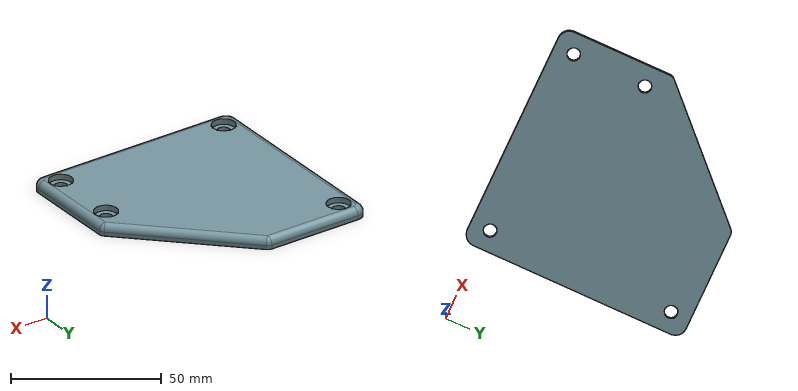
import cadquery as cq

side = 80.0
thickness = 4.0
corner_cut = 40.0
square_corner_radius = 4.0
cut_corner_radius = 2.6
top_edge_radius = 2.5

hole_inset = 7.0
hole_diameter = 4.5
counterbore_diameter = 8.3
counterbore_depth = 2.1
upper_right_hole_y = 33.0


def round_corners(plate, corners, radius):
    """Round the upright edges of the plate at the given outline corners."""
    for x, y in corners:
        corner_edge = cq.selectors.NearestToPointSelector((x, y, thickness / 2))
        plate = plate.edges("|Z").edges(corner_edge).fillet(radius)
    return plate


def make_plate():
    """Square plate with its +X +Y corner cut off and its top edge rounded."""
    square_corners = [(0, side), (0, 0), (side, 0)]
    cut_corners = [(side, side - corner_cut), (side - corner_cut, side)]
    plate = cq.Workplane("XY").polyline(square_corners + cut_corners).close().extrude(thickness)
    plate = round_corners(plate, square_corners, square_corner_radius)
    plate = round_corners(plate, cut_corners, cut_corner_radius)
    return plate.faces(">Z").edges().fillet(top_edge_radius)


def drill_screw_holes(plate):
    """Drill a counterbored through hole near each corner except the end of the cut at +Y."""
    far_side = side - hole_inset
    hole_centers = [
        (hole_inset, hole_inset),
        (far_side, hole_inset),
        (far_side, upper_right_hole_y),
        (hole_inset, far_side),
    ]
    return (
        plate.faces(">Z")
        .workplane(origin=(0, 0, thickness))
        .pushPoints(hole_centers)
        .cboreHole(hole_diameter, counterbore_diameter, counterbore_depth)
    )


result = drill_screw_holes(make_plate())